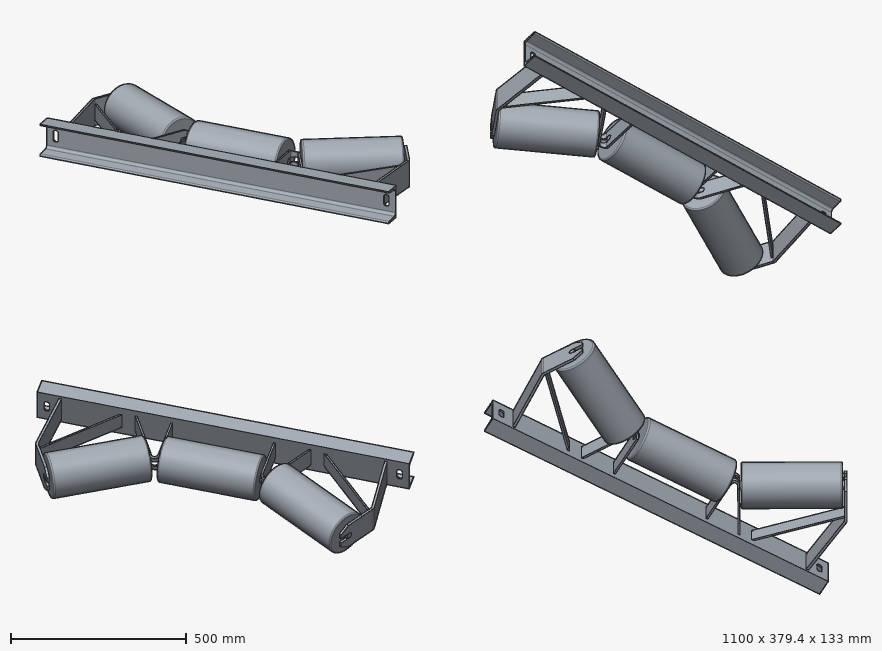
import cadquery as cq
import math


channel_length = 1100.0
channel_height = 100.0
channel_depth = 50.0
web_thickness = 5.0
flange_thickness = 8.0
flange_taper = math.radians(5)
root_radius = 9.0
tip_radius = 4.0
mount_slot_width = 16.0
mount_slot_height = 36.0
mount_slot_inset = 29.0

roller_diameter = 133.0
roller_length = 289.0
roller_edge_fillet = 4.0
hub_diameter = 26.0
roller_gap = 4.0
tongue_width = 16.0
trough_angle = 30.0
center_roller_y = 169.0
side_roller_x = 316.0
side_roller_y = 251.0

outer_plate_width = 82.0
outer_plate_thickness = 8.0
outer_foot_x = 485.0
outer_tip_rise = 33.0
outer_bend_drop = 98.0
outer_bend_radius = 7.0
outer_chamfer_width = 18.0
outer_chamfer_length = 29.0

inner_plate_width = 60.0
inner_plate_thickness = 5.0
inner_bend_radius = 11.0
inner_chamfer_width = 9.0
inner_chamfer_length = 14.0

strut_width = 50.0
strut_thickness = 5.0
strut_foot_x = 302.0
strut_top_drop = 90.0

seat_offset = roller_length / 2 + roller_gap
outer_face_offset = seat_offset + outer_plate_thickness
trough = math.radians(trough_angle)
axis_direction = cq.Vector(math.cos(trough), math.sin(trough), 0)
leg_direction = cq.Vector(-math.sin(trough), math.cos(trough), 0)
side_roller_center = cq.Vector(side_roller_x, side_roller_y, 0)
x_direction = cq.Vector(1, 0, 0)
y_direction = cq.Vector(0, 1, 0)
center_roller_center = cq.Vector(0, center_roller_y, 0)


def side_point(along, rise):
    """XY point given by its distance along the right roller's axis and across it."""
    point = side_roller_center + axis_direction * along + leg_direction * rise
    return (point.x, point.y)


def plate(outline, width):
    """Plate with an XY outline, centred on Z = 0."""
    return cq.Workplane("XY").polyline(outline).close().extrude(width / 2, both=True)


def axis_plane(center, axis, upward, offset):
    """Plane across a roller axis, at an offset from the roller centre."""
    return cq.Workplane(cq.Plane(origin=center + axis * offset, xDir=upward, normal=axis))


def seat_slot(center, axis, upward, offset, depth, length):
    """Cutter for a round-bottomed slot, from the roller axis up past the plate edge."""
    radius = tongue_width / 2
    return (
        axis_plane(center, axis, upward, offset)
        .moveTo(length, radius)
        .lineTo(0, radius)
        .threePointArc((-radius, 0), (0, -radius))
        .lineTo(length, -radius)
        .close()
        .extrude(depth)
    )


def tip_corner(workplane, tip, half_width, chamfer_length, chamfer_width, depth):
    """Cutter for the chamfer on the +Z corner of a plate's tip."""
    outline = [
        (tip, half_width),
        (tip - chamfer_length, half_width),
        (tip, half_width - chamfer_width),
    ]
    return workplane.polyline(outline).close().extrude(depth)


def nearest_edge(x, y):
    """Selector for the Z edge of a plate at an XY point."""
    return cq.selectors.NearestToPointSelector((x, y, 0))


def channel_edges(y, half_height):
    """Selector for the two long channel edges at a Y place, within a half height."""
    margin = 0.1
    return cq.selectors.BoxSelector(
        (-channel_length, y - margin, -half_height - margin),
        (channel_length, y + margin, half_height + margin),
    )


def make_channel():
    """Channel with tapered flanges toward -Y and a mounting slot at each end of the web."""
    half = channel_height / 2
    mid_flange = channel_depth / 2
    taper_rise = mid_flange * math.tan(flange_taper)
    tip_z = half - flange_thickness + taper_rise
    root_z = tip_z - (channel_depth - web_thickness) * math.tan(flange_taper)
    web_y = channel_depth - web_thickness
    outline = [
        (0, half),
        (channel_depth, half),
        (channel_depth, -half),
        (0, -half),
        (0, -tip_z),
        (web_y, -root_z),
        (web_y, root_z),
        (0, tip_z),
    ]
    body = cq.Workplane("YZ").polyline(outline).close().extrude(channel_length / 2, both=True)
    body = body.edges("|X").edges(channel_edges(web_y, root_z)).fillet(root_radius)
    body = body.edges("|X").edges(channel_edges(0, tip_z)).fillet(tip_radius)
    slot_x = channel_length / 2 - mount_slot_inset
    slots = (
        cq.Workplane("XZ")
        .pushPoints([(-slot_x, 0), (slot_x, 0)])
        .slot2D(mount_slot_height, mount_slot_width, 90)
        .extrude(-channel_depth)
    )
    return body.cut(slots)


def make_roller(center, axis, upward, end_thickness):
    """Roller with a hub and a flat-topped shaft tongue at each end."""
    body = (
        axis_plane(center, axis, upward, -roller_length / 2)
        .circle(roller_diameter / 2)
        .extrude(roller_length)
        .edges("%CIRCLE")
        .fillet(roller_edge_fillet)
    )
    for end, thickness in zip((axis, axis * -1), end_thickness):
        end_plane = axis_plane(center, end, upward, roller_length / 2)
        hub = end_plane.circle(hub_diameter / 2).extrude(roller_gap)
        tongue = seat_slot(center, end, upward, seat_offset, thickness, tongue_width / 2)
        body = body.union(hub).union(tongue)
    return body


def make_outer_bracket():
    """Right outer bracket: a foot leg bent inward into the leg that seats the roller."""
    foot_y = channel_depth
    bend = side_point(outer_face_offset, -outer_bend_drop)
    foot_lean = math.atan2(bend[0] - outer_foot_x, bend[1] - foot_y)
    mitre = outer_plate_thickness * math.tan((trough + foot_lean) / 2)
    inner_bend = side_point(seat_offset, mitre - outer_bend_drop)
    outline = [
        (outer_foot_x, foot_y),
        bend,
        side_point(outer_face_offset, outer_tip_rise),
        side_point(seat_offset, outer_tip_rise),
        inner_bend,
        (outer_foot_x - outer_plate_thickness / math.cos(foot_lean), foot_y),
    ]
    body = plate(outline, outer_plate_width)
    body = body.edges(nearest_edge(*inner_bend)).fillet(outer_bend_radius)
    body = body.edges(nearest_edge(*bend)).fillet(outer_bend_radius + outer_plate_thickness)
    leg_plane = axis_plane(side_roller_center, axis_direction, leg_direction, seat_offset)
    corner = tip_corner(
        leg_plane,
        outer_tip_rise,
        outer_plate_width / 2,
        outer_chamfer_length,
        outer_chamfer_width,
        outer_plate_thickness,
    )
    slot = seat_slot(
        side_roller_center, axis_direction, leg_direction, seat_offset, outer_plate_thickness, outer_tip_rise
    )
    return body.cut(corner).cut(corner.mirror("XY")).cut(slot)


def make_strut(bracket):
    """Right strut, from the channel up to the inside of the outer bracket's bend."""
    bend = side_point(seat_offset + outer_plate_thickness / 2, -strut_top_drop)
    slope = math.atan2(bend[1] - channel_depth, bend[0] - strut_foot_x)
    half_foot = strut_thickness / 2 / math.sin(slope)
    across_x = strut_thickness / 2 * math.sin(slope)
    across_y = strut_thickness / 2 * math.cos(slope)
    outline = [
        (strut_foot_x - half_foot, channel_depth),
        (bend[0] - across_x, bend[1] + across_y),
        (bend[0] + across_x, bend[1] - across_y),
        (strut_foot_x + half_foot, channel_depth),
    ]
    return plate(outline, strut_width).cut(bracket)


def make_inner_bracket():
    """Right inner bracket: an upright leg bent over into a leg square to the side roller."""
    seat_x, seat_y = side_point(-seat_offset, 0)
    foot_x = seat_x + (seat_y - channel_depth) * math.tan(trough)
    apex_y = seat_y + (seat_x - seat_offset) / math.tan(trough)
    inset_x = inner_plate_thickness / math.cos(trough)
    inner_apex_y = apex_y - inner_plate_thickness / math.tan(trough / 2)
    outline = [
        (seat_offset, channel_depth),
        (seat_offset, apex_y),
        (foot_x, channel_depth),
        (foot_x - inset_x, channel_depth),
        (seat_offset + inner_plate_thickness, inner_apex_y),
        (seat_offset + inner_plate_thickness, channel_depth),
    ]
    body = plate(outline, inner_plate_width)
    inner_apex = nearest_edge(seat_offset + inner_plate_thickness, inner_apex_y)
    body = body.edges(inner_apex).fillet(inner_bend_radius)
    body = body.edges(nearest_edge(seat_offset, apex_y)).fillet(inner_bend_radius + inner_plate_thickness)
    slot_length = apex_y - channel_depth
    upright_slot = seat_slot(
        center_roller_center, x_direction, y_direction, seat_offset, inner_plate_thickness, slot_length
    )
    leaning_slot = seat_slot(
        side_roller_center, axis_direction * -1, leg_direction, seat_offset, inner_plate_thickness, slot_length
    )
    bend_slot = cq.Workplane("XY").box(foot_x, slot_length, tongue_width, centered=(False, False, True))
    bend_slot = bend_slot.translate((0, seat_y, 0))
    top_y = body.val().BoundingBox().ymax
    corner = tip_corner(
        cq.Workplane("YZ"),
        top_y,
        inner_plate_width / 2,
        inner_chamfer_length,
        inner_chamfer_width,
        foot_x,
    )
    body = body.cut(corner).cut(corner.mirror("XY"))
    return body.cut(upright_slot).cut(leaning_slot).cut(bend_slot)


channel = make_channel()

center_roller = make_roller(
    center_roller_center,
    x_direction,
    y_direction,
    (inner_plate_thickness, inner_plate_thickness),
)
side_roller = make_roller(
    side_roller_center,
    axis_direction,
    leg_direction,
    (outer_plate_thickness, inner_plate_thickness),
)
outer_bracket = make_outer_bracket()
strut = make_strut(outer_bracket)
inner_bracket = make_inner_bracket()

bodies = [channel.val(), center_roller.val()]
for right_body in (side_roller, outer_bracket, strut, inner_bracket):
    bodies.append(right_body.val())
    bodies.append(right_body.mirror("YZ").val())

result = cq.Compound.makeCompound(bodies)